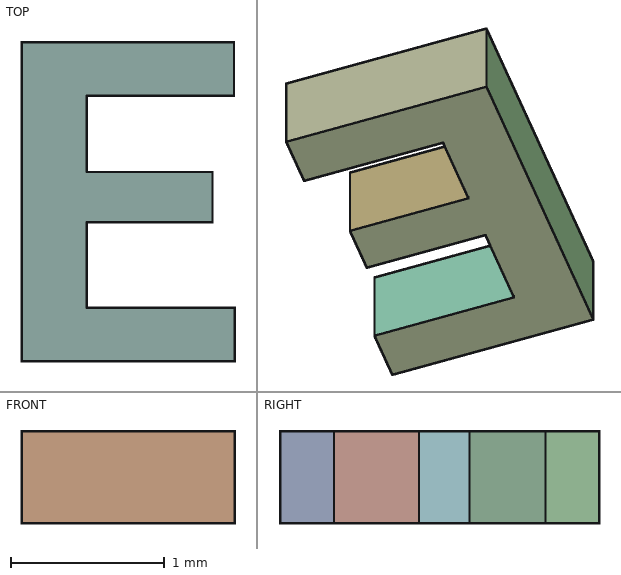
import cadquery as cq

length_x = 1.39
length_y = 2.08
thickness = 0.6

spine_width = 0.425

outer_arm_width = 0.35
middle_arm_width = 0.33
lower_arm_reach = length_x
upper_arm_reach = 1.385
middle_arm_reach = 1.245
lower_gap = 0.555


def block(reach, width, y_start):
    """Full-thickness block starting at the outer face of the spine."""
    return cq.Workplane("XY").box(reach, width, thickness, centered=False).translate((0, y_start, 0))


def make_part():
    """E-shaped plate: one spine with three arms."""
    arms = [
        (lower_arm_reach, outer_arm_width, 0),
        (middle_arm_reach, middle_arm_width, outer_arm_width + lower_gap),
        (upper_arm_reach, outer_arm_width, length_y - outer_arm_width),
    ]
    body = block(spine_width, length_y, 0)
    for reach, width, y_start in arms:
        body = body.union(block(reach, width, y_start))
    return body.clean()


result = make_part()